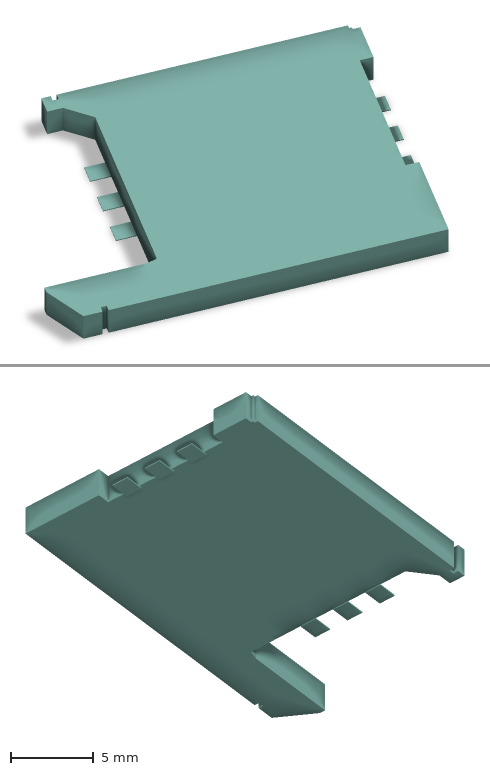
import cadquery as cq

total_length = 24.9
width = 17.7
total_height = 2.1

contact_thickness = 0.07
contact_width = 1.17
contact_length = 1.35
contact_pitch = 2.55
contacts_per_row = 3
first_contact_x = 4.4
front_contact_y = 5.85
rear_contact_y = total_length - contact_length

housing_height = total_height - contact_thickness
rear_y = 24.65
mouth_y = 7.17

recess_left = 2.95
recess_right = 11.93
recess_y = 23.8

left_arm_y = 4.55
left_arm_width = 1.15
left_slope_x = 2.47
left_slope_y = 5.55

right_arm_x = 14.77
tip_flat = 0.4
tip_bevel_height = 1.52
root_width = 0.17
root_length = 0.67

notch_depth = 0.37
notch_width = 0.37
left_notch_y = 5.15
right_notch_y = 2.75

outer_step_y = 24.0
outer_step_depth = 0.22
inner_step_y = 24.16


def box(x, y, size_x, size_y, height):
    """Block standing on the underside of the housing, from its front left corner."""
    return (
        cq.Workplane("XY", origin=(x, y, contact_thickness))
        .box(size_x, size_y, height, centered=False)
    )


def make_housing():
    body = (
        cq.Workplane("XY", origin=(0, 0, contact_thickness))
        .moveTo(0, left_arm_y)
        .lineTo(left_arm_width, left_arm_y)
        .lineTo(left_arm_width, left_slope_y)
        .lineTo(left_slope_x, mouth_y)
        .lineTo(right_arm_x - root_width, mouth_y)
        .lineTo(right_arm_x, mouth_y - root_length)
        .lineTo(right_arm_x, 0)
        .lineTo(right_arm_x + tip_flat, 0)
        .lineTo(width, tip_bevel_height)
        .lineTo(width, rear_y)
        .lineTo(recess_right, rear_y)
        .lineTo(recess_right, recess_y)
        .lineTo(recess_left, recess_y)
        .lineTo(recess_left, rear_y)
        .lineTo(0, rear_y)
        .close()
        .extrude(housing_height)
    )
    left_notch = box(0, left_notch_y, notch_depth, notch_width, housing_height)
    right_notch = box(width - notch_depth, right_notch_y, notch_depth, notch_width, housing_height)
    outer_step = box(0, outer_step_y, outer_step_depth, rear_y - outer_step_y, housing_height)
    inner_step = box(0, inner_step_y, notch_depth, rear_y - inner_step_y, housing_height)
    return body.cut(left_notch).cut(right_notch).cut(outer_step).cut(inner_step)


def make_contact(x, y):
    return cq.Workplane("XY", origin=(x, y, 0)).box(
        contact_width, contact_length, contact_thickness, centered=False
    )


housing = make_housing()
contacts = [
    make_contact(first_contact_x + column * contact_pitch, row_y)
    for row_y in (front_contact_y, rear_contact_y)
    for column in range(contacts_per_row)
]

result = cq.Compound.makeCompound([housing.val(), *[contact.val() for contact in contacts]])